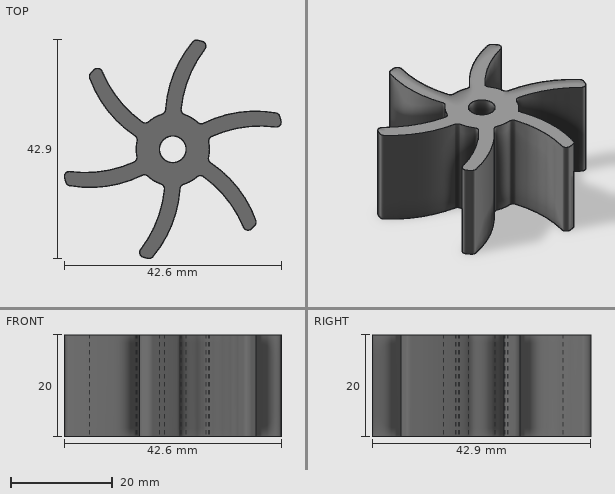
import cadquery as cq
import math

height = 20.0
tip_radius = 22.0
hub_radius = 7.2
bore_diameter = 5.2

blade_count = 6
outer_arc_center = (16.25, -15.55)
outer_arc_radius = 23.07
inner_arc_center = (17.2, -18.65)
inner_arc_radius = 23.2
blade_root_radius = 5.15

tip_fillet = 1.0
root_fillet = 1.0
selection_margin = 0.45


def blade_side_point(center, arc_radius, distance):
    """Point on a blade side at the given distance from the rotor axis."""
    offset = math.hypot(*center)
    cosine = (distance**2 + offset**2 - arc_radius**2) / (2 * distance * offset)
    angle = math.atan2(center[1], center[0]) + math.acos(cosine)
    return (distance * math.cos(angle), distance * math.sin(angle))


def make_blade():
    """First blade, with two arc sides and a tip on the outer circle."""
    radii = (blade_root_radius, (blade_root_radius + tip_radius) / 2, tip_radius)
    outer = [blade_side_point(outer_arc_center, outer_arc_radius, r) for r in radii]
    inner = [blade_side_point(inner_arc_center, inner_arc_radius, r) for r in radii]
    chord_middle = [(a + b) / 2 for a, b in zip(outer[2], inner[2])]
    to_tip = tip_radius / math.hypot(*chord_middle)
    tip_middle = (chord_middle[0] * to_tip, chord_middle[1] * to_tip)
    return (
        cq.Workplane("XY")
        .moveTo(*inner[0])
        .threePointArc(inner[1], inner[2])
        .threePointArc(tip_middle, outer[2])
        .threePointArc(outer[1], outer[0])
        .close()
        .extrude(height)
    )


def vertical_edges_at(body, radius):
    """Vertical edges of the body that lie at the given distance from the axis."""
    edges = body.edges("|Z").vals()
    return [
        edge for edge in edges
        if abs(math.hypot(edge.Center().x, edge.Center().y) - radius) < selection_margin
    ]


blade = make_blade()
blade = blade.newObject(vertical_edges_at(blade, tip_radius)).fillet(tip_fillet)

rotor = cq.Workplane("XY").circle(hub_radius).extrude(height)
for index in range(blade_count):
    rotor = rotor.union(blade.rotate((0, 0, 0), (0, 0, 1), index * 360 / blade_count))

root_edges = [
    edge for edge in vertical_edges_at(rotor, hub_radius)
    if abs(edge.Center().y) > selection_margin
]
rotor = rotor.newObject(root_edges).fillet(root_fillet)

result = rotor.faces(">Z").workplane(origin=(0, 0, height)).hole(bore_diameter)